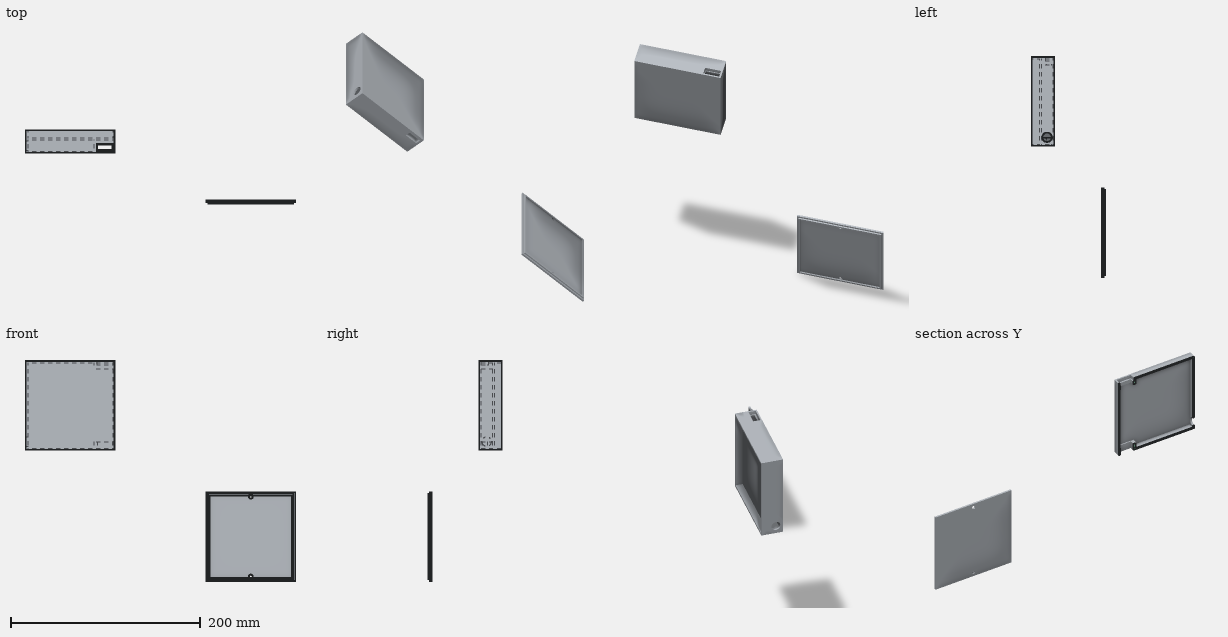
import cadquery as cq

layout_x = 284.56
layout_y = 77.64
layout_z = 232.43

side = 94.0
wall = 2.0
inner_side = side - 2 * wall

housing_depth = 24.0
front_chamber_depth = 12.0
rear_chamber_start = wall + front_chamber_depth + wall
rear_chamber_depth = housing_depth - rear_chamber_start

cable_hole_diameter = 10.0
cable_hole_y = 7.8
cable_hole_z = 9.1

slot_length = 15.6
slot_width = 5.4
slot_center_x = side - 10.5
slot_center_y = 6.0
recess_length = 17.4
recess_width = 8.0
recess_center_y = 5.6
recess_depth = 4.2

slot_block_height = 8.6
slot_block_length = 20.0

plate_thickness = 2.0
lip_height = 1.5
lip_thickness = 1.7
screw_hole_diameter = 4.0
screw_hole_inset = 4.8

lid_x = layout_x - side
lid_y = housing_depth - layout_y
lid_z = side - layout_z


def box_at(length, depth, height, x, y, z):
    """Box with its lowest corner at (x, y, z)."""
    return cq.Workplane("XY").box(length, depth, height, centered=False).translate((x, y, z))


def slot_cutter(length, width, height, center_y, z):
    """Upright rectangular cutter centred on the slot in X."""
    return box_at(length, width, height, slot_center_x - length / 2, center_y - width / 2, z)


def make_housing():
    """Square box with a closed front chamber, a mid wall and an open rear chamber."""
    body = box_at(side, housing_depth, side, 0, 0, 0)

    front_chamber = box_at(inner_side, front_chamber_depth, inner_side, wall, wall, wall)
    block_x = side - wall - slot_block_length
    for block_z in (0, side - slot_block_height):
        block = box_at(slot_block_length, housing_depth, slot_block_height, block_x, 0, block_z)
        front_chamber = front_chamber.cut(block)
    body = body.cut(front_chamber)

    rear_chamber = box_at(inner_side, rear_chamber_depth, inner_side, wall, rear_chamber_start, wall)
    body = body.cut(rear_chamber)

    body = body.cut(slot_cutter(slot_length, slot_width, side, slot_center_y, 0))
    recess_z = side - recess_depth
    body = body.cut(slot_cutter(recess_length, recess_width, recess_depth, recess_center_y, recess_z))

    cable_hole = (
        cq.Workplane("YZ")
        .center(cable_hole_y, cable_hole_z)
        .circle(cable_hole_diameter / 2)
        .extrude(wall)
    )
    return body.cut(cable_hole)


def make_lid():
    """Square plate with a locating lip on its -Y face and two screw holes that the lip partly covers."""
    plate = box_at(side, plate_thickness, side, 0, lip_height, 0)

    lip_inset = wall + lip_thickness
    lip_opening = side - 2 * lip_inset
    lip = box_at(inner_side, lip_height, inner_side, wall, 0, wall)
    lip = lip.cut(box_at(lip_opening, lip_height, lip_opening, lip_inset, 0, lip_inset))

    hole_offset = side / 2 - screw_hole_inset
    screw_holes = (
        cq.Workplane("XZ", origin=(side / 2, lip_height, side / 2))
        .pushPoints([(0, hole_offset), (0, -hole_offset)])
        .circle(screw_hole_diameter / 2)
        .extrude(-plate_thickness)
    )
    return plate.cut(screw_holes).union(lip).translate((lid_x, lid_y, lid_z))


housing = make_housing()
lid = make_lid()

result = cq.Compound.makeCompound([housing.val(), lid.val()])